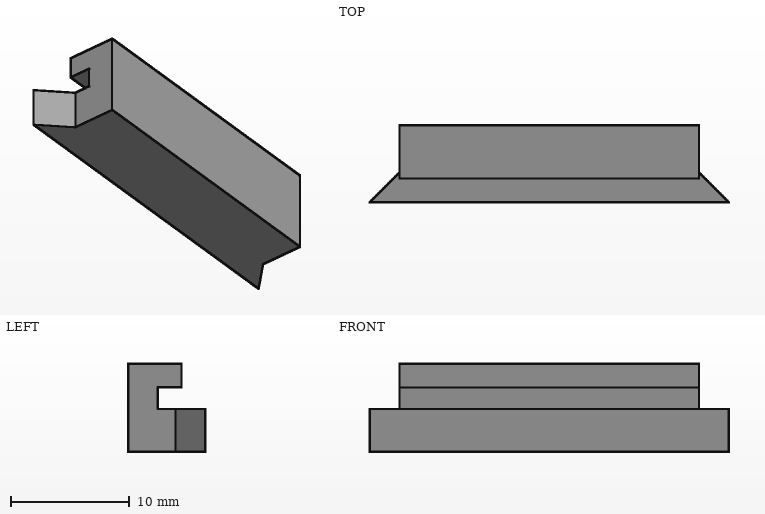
import cadquery as cq

total_length = 30.22
depth = 6.5
height = 7.4

base_height = 3.6
lip_thickness = 2.0
lip_depth = 4.5
web_thickness = 2.5

wing_size = 2.5
body_length = total_length - 2 * wing_size

half_body = body_length / 2
front_y = -depth / 2
back_y = depth / 2


def make_rail():
    """Extrude the C-shaped section, open to the front, along X."""
    lip_bottom = height - lip_thickness
    lip_front_y = back_y - lip_depth
    groove_back_y = back_y - web_thickness
    section = [
        (back_y, 0),
        (back_y, height),
        (lip_front_y, height),
        (lip_front_y, lip_bottom),
        (groove_back_y, lip_bottom),
        (groove_back_y, base_height),
        (front_y, base_height),
        (front_y, 0),
    ]
    return (
        cq.Workplane("YZ")
        .workplane(offset=-half_body)
        .polyline(section)
        .close()
        .extrude(body_length)
    )


def make_wing(side):
    """Make a 45 degree wing, flush with the front, at the -X or +X end."""
    root_x = side * half_body
    tip_x = side * total_length / 2
    outline = [
        (root_x, front_y),
        (tip_x, front_y),
        (root_x, front_y + wing_size),
    ]
    return cq.Workplane("XY").polyline(outline).close().extrude(base_height)


result = make_rail()
for side in (-1, 1):
    result = result.union(make_wing(side))